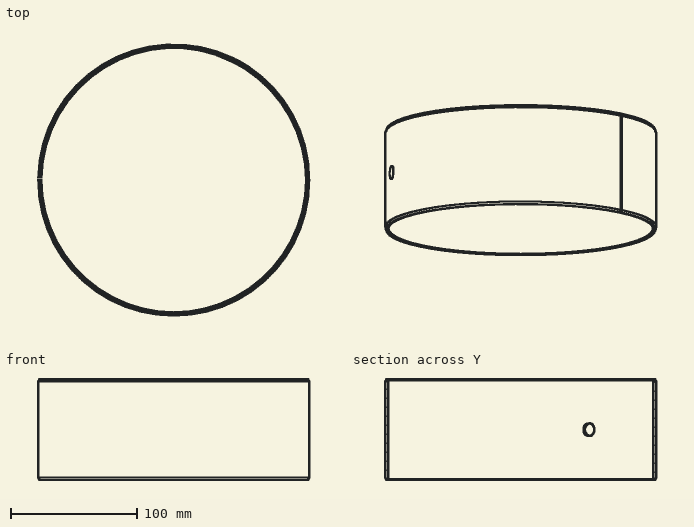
import cadquery as cq

outer_diameter = 215.0
wall = 2.5
height = 80.0
outer_chamfer_height = 2.0
outer_chamfer_width = 0.9
inner_chamfer = 0.9

split_width = 2.0

hole_diameter = 10.0
hole_angle = 59.0

outer_radius = outer_diameter / 2
inner_radius = outer_radius - wall
half_height = height / 2


def make_ring():
    """Revolve the wall section, with all four corners chamfered."""
    land_outer_radius = outer_radius - outer_chamfer_width
    land_inner_radius = inner_radius + inner_chamfer
    outer_half_height = half_height - outer_chamfer_height
    inner_half_height = half_height - inner_chamfer
    section = [
        (inner_radius, -inner_half_height),
        (land_inner_radius, -half_height),
        (land_outer_radius, -half_height),
        (outer_radius, -outer_half_height),
        (outer_radius, outer_half_height),
        (land_outer_radius, half_height),
        (land_inner_radius, half_height),
        (inner_radius, inner_half_height),
    ]
    return cq.Workplane("XZ").polyline(section).close().revolve(360, (0, 0), (0, 1))


def make_split_cutter():
    return cq.Workplane("XY").box(
        outer_diameter, split_width, 2 * height, centered=(True, False, True)
    ).translate((-outer_radius, 0, 0))


def make_hole_cutter():
    return (
        cq.Workplane("YZ")
        .circle(hole_diameter / 2)
        .extrude(outer_diameter)
        .rotate((0, 0, 0), (0, 0, 1), hole_angle)
    )


result = make_ring().cut(make_split_cutter()).cut(make_hole_cutter())